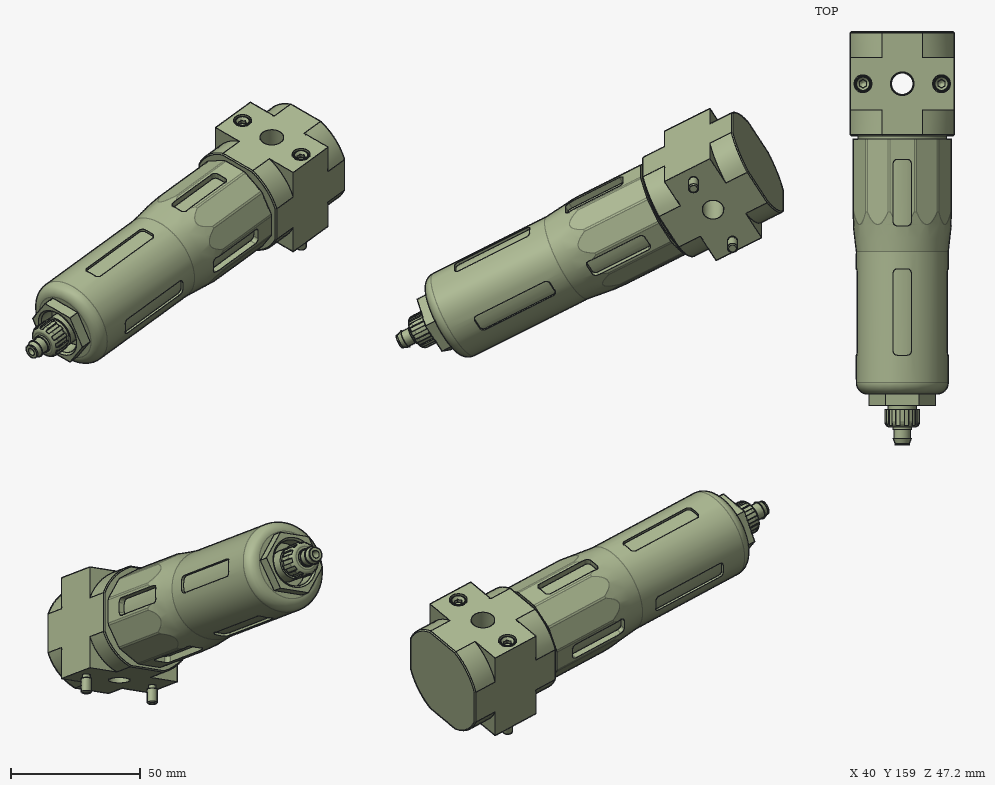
import cadquery as cq


OVERALL_LENGTH = 159
HEX_SIDES = 6

HOUSING_SIZE = 40.0
HOUSING_ROUND_DIAMETER = 43
CROSS_ARM_WIDTH = 20.2
HOUSING_CHAMFER = 0.5
PORT_TOP_DIAMETER = 9.0
PORT_BOTTOM_DIAMETER = 8.3

SCREW_OFFSET = 15.1
SCREW_PROJECTION = 7.2
SCREW_HEAD_DIAMETER = 6.0
SCREW_HEAD_HEIGHT = 4.0
SCREW_HEAD_CHAMFER = 0.3
SCREW_HEAD_DEPTH = 0.3
SOCKET_WIDTH = 2.9
SOCKET_DEPTH = 2.4
SOCKET_POINT_DEPTH = 1.0
COUNTERSINK_DIAMETER = 5.1
COUNTERSINK_CONE_DEPTH = 2.5
SHANK_DIAMETER = 3.0
THREAD_DIAMETER = 4.0
THREAD_LENGTH = 5.7
THREAD_CHAMFER = 0.5
COUNTERBORE_DIAMETER = 6.8

NECK_LENGTH = 1.3
NECK_DIAMETER = 34.2
COLLAR_LENGTH = 43.2
COLLAR_STRAIGHT_LENGTH = 28.0
COLLAR_SIDES = 12
COLLAR_WIDTH = 37.8
COLLAR_ROUND_DIAMETER = 39.0
BOWL_DIAMETER = 35.5
BOWL_LENGTH = 54.9
BOWL_END_RADIUS = 4.5

WINDOW_WIDTH = 7.0
WINDOW_CORNER_RADIUS = 1.6
WINDOW_FLOOR_DIAMETER = 33.4
WINDOW_COUNT = 4
COLLAR_WINDOW_START = 7.8
COLLAR_WINDOW_LENGTH = 25.6
BOWL_WINDOW_START = 6.7
BOWL_WINDOW_LENGTH = 33.2

HEX_WIDTH = 22.3
HEX_LENGTH = 4.5
RECESS_DIAMETER = 18.1
RECESS_CHAMFER = 0.8
RECESS_DEPTH = 6.8

STEM_DIAMETER = 11.1
STEM_LENGTH = 1.5
STEM_BASE_DIAMETER = 12.5
STEM_BASE_RECESS = 0.5
KNOB_ROOT_DIAMETER = 12.2
KNOB_DIAMETER = 13.4
KNOB_LENGTH = 6.8
KNOB_END_RADIUS = 2.0
RIB_COUNT = 12
RIB_WIDTH = 1.6
SPOUT_COLLAR_DIAMETER = 7.2
SPOUT_COLLAR_LENGTH = 1.0
SPOUT_DIAMETER = 6.4
BARB_LENGTH = 2.5
SPOUT_TIP_LENGTH = 0.6
SPOUT_END_DIAMETER = 5.5
DRAIN_HOLE_DIAMETER = 3.0
DRAIN_HOLE_DEPTH = 4.8

HALF_SIZE = HOUSING_SIZE / 2
HOUSING_FRONT_Y = -HALF_SIZE
COLLAR_Y = HOUSING_FRONT_Y - NECK_LENGTH
BOWL_Y = COLLAR_Y - COLLAR_LENGTH
BOWL_END_Y = BOWL_Y - BOWL_LENGTH
HEX_END_Y = BOWL_END_Y - HEX_LENGTH
RECESS_FLOOR_Y = HEX_END_Y + RECESS_DEPTH
KNOB_Y = HEX_END_Y - STEM_LENGTH
KNOB_END_Y = KNOB_Y - KNOB_LENGTH
SPOUT_END_Y = HALF_SIZE - OVERALL_LENGTH

HEAD_TOP_Z = HALF_SIZE - SCREW_HEAD_DEPTH
HEAD_BASE_Z = HEAD_TOP_Z - SCREW_HEAD_HEIGHT
SCREW_END_Z = -HALF_SIZE - SCREW_PROJECTION
THREAD_TOP_Z = SCREW_END_Z + THREAD_LENGTH


def turned(profile):
    """Solid of revolution about Y from (radius, y) points."""
    return cq.Workplane("XY").polyline(profile).close().revolve(360, (0, 0), (0, 1))


def rod(x, diameter, bottom, top):
    """Vertical cylinder at x between two levels."""
    return cq.Workplane("XY", origin=(x, 0, bottom)).circle(diameter / 2).extrude(top - bottom)


def disc(diameter, start_y, length):
    """Cylinder on the Y axis that runs from start_y towards -Y."""
    return cq.Workplane("XZ", origin=(0, start_y, 0)).circle(diameter / 2).extrude(length)


def downward_cone(x, diameter, depth, top):
    """Cone at x with its base at the top level and its tip below."""
    tip_direction = cq.Vector(0, 0, -1)
    return cq.Solid.makeCone(diameter / 2, 0, depth, cq.Vector(x, 0, top), tip_direction)


def make_port():
    """Through hole along Z that narrows slightly downwards."""
    return (
        cq.Workplane("XY", origin=(0, 0, HALF_SIZE))
        .circle(PORT_TOP_DIAMETER / 2)
        .workplane(offset=-HOUSING_SIZE)
        .circle(PORT_BOTTOM_DIAMETER / 2)
        .loft()
    )


def make_housing():
    """Rounded block with square cross arms, the port and the two screw holes."""
    cube = cq.Workplane("XY").box(HOUSING_SIZE, HOUSING_SIZE, HOUSING_SIZE)
    barrel = disc(HOUSING_ROUND_DIAMETER, HALF_SIZE, HOUSING_SIZE)
    core = cube.intersect(barrel).faces("<Y or >Y").edges().chamfer(HOUSING_CHAMFER)
    arms = cq.Workplane("XY").box(HOUSING_SIZE, CROSS_ARM_WIDTH, HOUSING_SIZE)
    body = core.union(arms).cut(make_port())
    for x in (-SCREW_OFFSET, SCREW_OFFSET):
        body = body.cut(rod(x, COUNTERBORE_DIAMETER, HEAD_BASE_Z, HALF_SIZE))
        body = body.cut(rod(x, SHANK_DIAMETER, -HALF_SIZE, HEAD_BASE_Z))
    return body


def make_socket(x):
    """Countersunk hexagon socket with a pointed bottom."""
    hexagon = (
        cq.Workplane("XY", origin=(x, 0, HEAD_TOP_Z))
        .polygon(HEX_SIDES, SOCKET_WIDTH, circumscribed=True)
        .extrude(-SOCKET_DEPTH)
    )
    countersink = downward_cone(x, COUNTERSINK_DIAMETER, COUNTERSINK_CONE_DEPTH, HEAD_TOP_Z)
    point = downward_cone(x, SOCKET_WIDTH, SOCKET_POINT_DEPTH, HEAD_TOP_Z - SOCKET_DEPTH)
    return hexagon.union(countersink).union(point)


def make_screw(x):
    """Cap screw with a slim shank and a short thread below the housing."""
    head = rod(x, SCREW_HEAD_DIAMETER, HEAD_BASE_Z, HEAD_TOP_Z)
    head = head.faces(">Z").edges().chamfer(SCREW_HEAD_CHAMFER)
    shank = rod(x, SHANK_DIAMETER, THREAD_TOP_Z, HEAD_BASE_Z)
    thread = rod(x, THREAD_DIAMETER, SCREW_END_Z, THREAD_TOP_Z)
    thread = thread.faces("<Z").edges().chamfer(THREAD_CHAMFER)
    return head.union(shank).union(thread).cut(make_socket(x))


def make_guard():
    """Faceted collar that tapers into the round bowl, with the neck behind it."""
    taper_y = COLLAR_Y - COLLAR_STRAIGHT_LENGTH
    shell = turned([
        (0, COLLAR_Y),
        (COLLAR_ROUND_DIAMETER / 2, COLLAR_Y),
        (COLLAR_ROUND_DIAMETER / 2, taper_y),
        (BOWL_DIAMETER / 2, BOWL_Y),
        (BOWL_DIAMETER / 2, BOWL_END_Y),
        (0, BOWL_END_Y),
    ])
    shell = shell.faces("<Y").edges().fillet(BOWL_END_RADIUS)
    facets = (
        cq.Workplane("XZ", origin=(0, COLLAR_Y, 0))
        .polygon(COLLAR_SIDES, COLLAR_WIDTH, circumscribed=True)
        .extrude(COLLAR_LENGTH + BOWL_LENGTH)
    )
    neck = disc(NECK_DIAMETER, HOUSING_FRONT_Y, NECK_LENGTH)
    return shell.intersect(facets).union(neck)


def window_cutter(start_y, length):
    """Rounded slot on the +Z side with a cylindrical floor."""
    slot = (
        cq.Workplane("XY", origin=(0, start_y - length / 2, 0))
        .rect(WINDOW_WIDTH, length)
        .extrude(COLLAR_WIDTH)
        .edges("|Z")
        .fillet(WINDOW_CORNER_RADIUS)
    )
    floor = disc(WINDOW_FLOOR_DIAMETER, start_y, length)
    return slot.cut(floor)


def make_hex_boss():
    """Hexagonal boss with two of its corners on the X axis."""
    return (
        cq.Workplane("XZ", origin=(0, BOWL_END_Y, 0))
        .polygon(HEX_SIDES, HEX_WIDTH, circumscribed=True)
        .extrude(HEX_LENGTH)
        .rotate((0, 0, 0), (0, 1, 0), 180 / HEX_SIDES)
    )


def recess_cutter():
    """Round recess with a chamfered mouth, sunk through the boss into the bowl."""
    radius = RECESS_DIAMETER / 2
    return turned([
        (0, HEX_END_Y),
        (radius + RECESS_CHAMFER, HEX_END_Y),
        (radius, HEX_END_Y + RECESS_CHAMFER),
        (radius, RECESS_FLOOR_Y),
        (0, RECESS_FLOOR_Y),
    ])


def make_knob():
    """Ribbed knob, rounded at its free end."""
    envelope = disc(KNOB_DIAMETER, KNOB_Y, KNOB_LENGTH).faces("<Y").edges().fillet(KNOB_END_RADIUS)
    knob = disc(KNOB_ROOT_DIAMETER, KNOB_Y, KNOB_LENGTH)
    bar = cq.Workplane("XZ", origin=(0, KNOB_Y, 0)).rect(RIB_WIDTH, KNOB_DIAMETER).extrude(KNOB_LENGTH)
    for i in range(RIB_COUNT // 2):
        knob = knob.union(bar.rotate((0, 0, 0), (0, 1, 0), i * 360 / RIB_COUNT))
    return knob.intersect(envelope)


def make_spout():
    """Stepped stem, spout collar and barbed end on the drain axis."""
    base_end_y = HEX_END_Y + STEM_BASE_RECESS
    stem = turned([
        (0, RECESS_FLOOR_Y),
        (STEM_BASE_DIAMETER / 2, RECESS_FLOOR_Y),
        (STEM_BASE_DIAMETER / 2, base_end_y),
        (STEM_DIAMETER / 2, base_end_y),
        (STEM_DIAMETER / 2, KNOB_Y),
        (0, KNOB_Y),
    ])
    collar_end_y = KNOB_END_Y - SPOUT_COLLAR_LENGTH
    barb_y = SPOUT_END_Y + BARB_LENGTH
    spout = turned([
        (0, KNOB_END_Y),
        (SPOUT_COLLAR_DIAMETER / 2, KNOB_END_Y),
        (SPOUT_COLLAR_DIAMETER / 2, collar_end_y),
        (SPOUT_DIAMETER / 2, collar_end_y),
        (SPOUT_DIAMETER / 2, barb_y),
        (SPOUT_COLLAR_DIAMETER / 2, barb_y),
        (SPOUT_END_DIAMETER / 2, SPOUT_END_Y + SPOUT_TIP_LENGTH),
        (SPOUT_END_DIAMETER / 2, SPOUT_END_Y),
        (0, SPOUT_END_Y),
    ])
    hole = disc(DRAIN_HOLE_DIAMETER, SPOUT_END_Y + DRAIN_HOLE_DEPTH, DRAIN_HOLE_DEPTH)
    return stem.union(spout.cut(hole))


def make_bowl():
    """Guard with windows on four sides, hexagonal boss and drain, as one body."""
    body = make_guard()
    windows = (
        (COLLAR_Y - COLLAR_WINDOW_START, COLLAR_WINDOW_LENGTH),
        (BOWL_Y - BOWL_WINDOW_START, BOWL_WINDOW_LENGTH),
    )
    for start_y, length in windows:
        cutter = window_cutter(start_y, length)
        for i in range(WINDOW_COUNT):
            body = body.cut(cutter.rotate((0, 0, 0), (0, 1, 0), i * 360 / WINDOW_COUNT))
    body = body.union(make_hex_boss()).cut(recess_cutter())
    return body.union(make_spout()).union(make_knob())


housing = make_housing()
bowl = make_bowl()
screws = [make_screw(x) for x in (-SCREW_OFFSET, SCREW_OFFSET)]

result = cq.Compound.makeCompound([housing.val(), bowl.val(), *(screw.val() for screw in screws)])